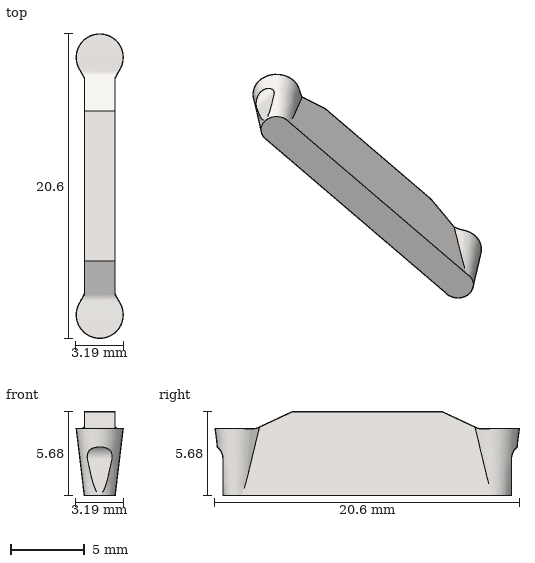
import cadquery as cq
import math

length = 20.58
height = 5.68
body_width = 2.08

head_height = 4.55
head_top_radius = 1.595
head_bottom_radius = 1.05
head_center = length / 2 - head_top_radius

neck_angle = math.radians(30)

ramp_angle = math.radians(25)

head_top_fall = 0.02
head_top_end = 7.75
level_strip_width = 0.05
ramp_round_start = head_top_end - level_strip_width
ramp_round_radius = 0.82

relief_face = 9.75
relief_straight_height = 2.47
relief_height = 3.3
relief_radius = 1.07


def neck_outline(radius):
    """Corners of the neck section whose sides are tangent to a circle of this radius."""
    tangent_x = radius * math.cos(neck_angle)
    tangent_y = head_center - radius * math.sin(neck_angle)
    neck_length = tangent_x / math.tan(neck_angle)
    return [(-tangent_x, tangent_y), (tangent_x, tangent_y), (0, tangent_y - neck_length)]


def make_head():
    """Tapered round head at the +Y end, blended into the body by a wedge-shaped neck."""
    cone = (
        cq.Workplane("XY").center(0, head_center).circle(head_bottom_radius)
        .workplane(offset=head_height).circle(head_top_radius).loft(ruled=True)
    )
    taper = (head_top_radius - head_bottom_radius) / head_height
    radius_at_full_height = head_bottom_radius + taper * height
    neck = (
        cq.Workplane("XY").polyline(neck_outline(head_bottom_radius)).close()
        .workplane(offset=height).polyline(neck_outline(radius_at_full_height)).close()
        .loft(ruled=True)
    )
    return cone.union(neck)


def make_side_profile():
    """Side outline across the full width, with the sloping head tops and the raised crest."""
    low_height = head_height - head_top_fall
    ramp_start = ramp_round_start - ramp_round_radius * math.sin(ramp_angle)
    ramp_start_height = low_height + ramp_round_radius * (1 - math.cos(ramp_angle))
    ramp_rise = height - ramp_start_height
    crest_end = ramp_start - ramp_rise / math.tan(ramp_angle)
    mid_angle = ramp_angle / 2
    mid_y = ramp_round_start - ramp_round_radius * math.sin(mid_angle)
    mid_height = low_height + ramp_round_radius * (1 - math.cos(mid_angle))
    half = (
        cq.Workplane("YZ").moveTo(0, 0).lineTo(length / 2, 0).lineTo(length / 2, head_height)
        .lineTo(head_center, head_height).lineTo(head_top_end, low_height)
        .lineTo(ramp_round_start, low_height)
        .threePointArc((mid_y, mid_height), (ramp_start, ramp_start_height))
        .lineTo(crest_end, height).lineTo(0, height).close()
        .extrude(head_top_radius, both=True)
    )
    return half.union(half.mirror("XZ"))


def make_relief():
    """Flat cut on the outer face of the +Y head that curves outward at its top."""
    rise = relief_height - relief_straight_height
    arc_angle = math.asin(rise / relief_radius)

    def arc_point(angle):
        return (
            relief_face + relief_radius * (1 - math.cos(angle)),
            relief_straight_height + relief_radius * math.sin(angle),
        )

    return (
        cq.Workplane("YZ").moveTo(relief_face, 0).lineTo(relief_face, relief_straight_height)
        .threePointArc(arc_point(arc_angle / 2), arc_point(arc_angle))
        .lineTo(length / 2, relief_height).lineTo(length / 2, 0).close()
        .extrude(head_top_radius, both=True)
    )


head = make_head().cut(make_relief())
body = cq.Workplane("XY").box(body_width, 2 * head_center, height, centered=(True, True, False))
result = body.union(head).union(head.mirror("XZ")).intersect(make_side_profile())